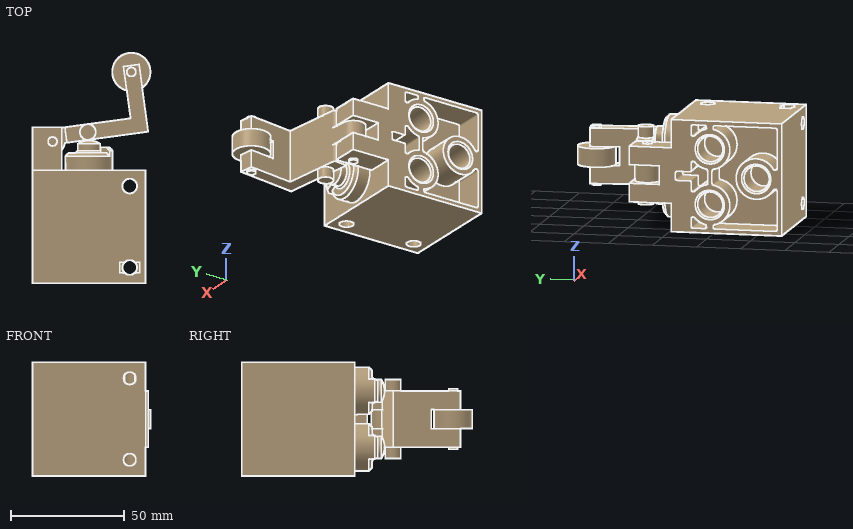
import cadquery as cq
import math

BODY_X = 50.0
BODY_Y = 50.0
BODY_Z = 50.4

HOLE_INSET = 7.0
HOLE_PITCH = 36.0
THROUGH_HOLE_D = 6.4
BASE_HOLE_D = 5.5
NUT_SLOT_X = 9.0
NUT_SLOT_Y = 4.8
NUT_SLOT_DEPTH = 10.0

PORT_BORE_D = 11.45
PORT_MOUTH_D = 13.2
PORT_CHAMFER = (PORT_MOUTH_D - PORT_BORE_D) / 2
PORT_DEPTH = 15.0
PORT_RING_D = 18.2
SIDE_PORT_Y = 32.5
SIDE_PORT_Z = 12.5
BASE_PORT_Y = 11.5
PORT_CENTRES = [(SIDE_PORT_Y, SIDE_PORT_Z), (SIDE_PORT_Y, -SIDE_PORT_Z), (BASE_PORT_Y, 0)]

POCKET_DEPTH = 14.5
POCKET_ROUND = 0.95
STEM_CORNER_ROUND = 0.5
POCKET_HALF_Z = 23.2
POCKET_BASE_Y = 2.0
RIB_LOW_Y = 31.5
RIB_HIGH_Y = 33.5
POCKET_TOP_Y = 41.0
STEM_TOP_Y = 48.1
STEM_HALF_Z = 2.05

CLEVIS_X = 13.0
CLEVIS_Z = 25.0
CLEVIS_TOP_Y = 69.0
CLEVIS_SLOT_FLOOR_Y = 55.5
GAP_Z = 8.4

BUTTON_X = 25.0
BUTTON_Z = 12.5
BUTTON_D = 21.0
BUTTON_CHAMFER = 1.5
BUTTON_TOP_Y = 57.7
PLUNGER_D = 10.0
COLLAR_D = 12.0
COLLAR_TOP_Y = 58.6
PLUNGER_SIDE_TOP_Y = 61.7
PLUNGER_TOP_Y = 63.2
TAB_TOP_Y = 60.2
TAB_HALF_ANGLE = 30.0

LEVER_ANGLE = 7.75
HINGE_X = 8.9
HINGE_Y = 62.7
ARM_WIDTH = 7.0
ARM_BOTTOM_V = -1.45
ARM_TOP_V = ARM_BOTTOM_V + ARM_WIDTH
ARM_START_U = 6.2
ARM_START_ROUND = 1.2
ARM_END_U = 42.5
SHORT_ARM_U = ARM_END_U - ARM_WIDTH
SHORT_ARM_TOP_V = 28.6
FORK_FLOOR_V = 15.55
HUB_D = 2 * ARM_TOP_V
PRESS_PIN_D = 7.0
PRESS_PIN_U = 16.0
PRESS_PIN_V = (ARM_BOTTOM_V + ARM_TOP_V) / 2
PRESS_PIN_LENGTH = 35.0
SMALL_PIN_D = 4.0
SMALL_PIN_LENGTH = 26.8
ROLLER_D = 17.0
ROLLER_U = 38.65
ROLLER_V = 25.76


def block(x_range, y_range, z_range):
    """Axis-aligned box between pairs of limits."""
    sizes = [high - low for low, high in (x_range, y_range, z_range)]
    corner = (x_range[0], y_range[0], z_range[0])
    return cq.Workplane("XY").box(*sizes, centered=False).translate(corner)


def z_cylinder(x, y, diameter, length):
    """Cylinder along Z, centred on the middle plane."""
    return cq.Workplane("XY", origin=(x, y, -length / 2)).circle(diameter / 2).extrude(length)


def port_pockets():
    """Pockets left between the walls, the rib and the port rings, with rounded corners.

    The area open to the centre of a corner-rounding circle is built first, then grown by its radius.
    """
    inset = POCKET_ROUND
    depth = (0, POCKET_DEPTH)
    reach = (inset - POCKET_HALF_Z, POCKET_HALF_Z - inset)
    lower = block(depth, (POCKET_BASE_Y + inset, RIB_LOW_Y - inset), reach)
    upper = block(depth, (RIB_HIGH_Y + inset, POCKET_TOP_Y - inset), reach)
    stem_half = STEM_HALF_Z - inset
    stem = block(depth, (RIB_HIGH_Y + inset, STEM_TOP_Y - inset), (-stem_half, stem_half))
    rings = (
        cq.Workplane("YZ").pushPoints(PORT_CENTRES).circle(PORT_RING_D / 2 + inset).extrude(POCKET_DEPTH)
    )
    base_web = block(depth, (0, BASE_PORT_Y), (-inset, inset))
    centre_paths = lower.union(upper.union(stem)).cut(rings).cut(base_web)

    pockets = cq.Workplane("YZ")
    for face in centre_paths.faces("<X").vals():
        outline = cq.Workplane("YZ").add(face.outerWire()).toPending()
        grown = outline.offset2D(inset + STEM_CORNER_ROUND)
        pockets = pockets.add(grown.offset2D(-STEM_CORNER_ROUND).extrude(POCKET_DEPTH))
    return pockets


def ports():
    bores = cq.Workplane("YZ").pushPoints(PORT_CENTRES).circle(PORT_BORE_D / 2).extrude(PORT_DEPTH)
    mouths = (
        cq.Workplane("YZ").pushPoints(PORT_CENTRES).circle(PORT_MOUTH_D / 2)
        .extrude(PORT_CHAMFER, taper=45)
    )
    return bores.union(mouths)


def body():
    half_z = BODY_Z / 2
    shape = block((0, BODY_X), (0, BODY_Y), (-half_z, half_z))
    hole_x = BODY_X - HOLE_INSET
    for y in (HOLE_INSET, HOLE_INSET + HOLE_PITCH):
        shape = shape.cut(z_cylinder(hole_x, y, THROUGH_HOLE_D, BODY_Z))
    for z in (-HOLE_PITCH / 2, HOLE_PITCH / 2):
        base_hole = cq.Workplane("XZ").center(hole_x, z).circle(BASE_HOLE_D / 2).extrude(-HOLE_INSET)
        shape = shape.cut(base_hole)
    nut_slot = block(
        (hole_x - NUT_SLOT_X / 2, hole_x + NUT_SLOT_X / 2),
        (HOLE_INSET - NUT_SLOT_Y / 2, HOLE_INSET + NUT_SLOT_Y / 2),
        (half_z - NUT_SLOT_DEPTH, half_z),
    )
    shape = shape.cut(nut_slot).cut(ports())
    for pocket in port_pockets().vals():
        shape = shape.cut(cq.Workplane(pocket))
    return shape


def clevis():
    half_z = CLEVIS_Z / 2
    shape = block((0, CLEVIS_X), (BODY_Y, CLEVIS_TOP_Y), (-half_z, half_z))
    slot = block((0, CLEVIS_X), (CLEVIS_SLOT_FLOOR_Y, CLEVIS_TOP_Y), (-GAP_Z / 2, GAP_Z / 2))
    return shape.cut(slot)


def button_barrel(top_y):
    """Button cylinder along Y with a chamfered top, on the axis X = Z = 0."""
    barrel = cq.Workplane("XZ", origin=(0, BODY_Y, 0)).circle(BUTTON_D / 2).extrude(BODY_Y - top_y)
    return barrel.faces(">Y").chamfer(BUTTON_CHAMFER)


def button(z):
    plunger_r = PLUNGER_D / 2
    dome_rise = PLUNGER_TOP_Y - PLUNGER_SIDE_TOP_Y
    dome_r = (plunger_r**2 + dome_rise**2) / (2 * dome_rise)
    mid_r = plunger_r / 2
    mid_y = PLUNGER_TOP_Y - dome_r + math.sqrt(dome_r**2 - mid_r**2)
    plunger = (
        cq.Workplane("XY")
        .moveTo(0, BODY_Y)
        .lineTo(COLLAR_D / 2, BODY_Y)
        .lineTo(COLLAR_D / 2, BUTTON_TOP_Y)
        .lineTo(plunger_r, COLLAR_TOP_Y)
        .lineTo(plunger_r, PLUNGER_SIDE_TOP_Y)
        .threePointArc((mid_r, mid_y), (0, PLUNGER_TOP_Y))
        .close()
        .revolve(360, (0, 0, 0), (0, 1, 0))
    )
    sector_half_z = BUTTON_D * math.tan(math.radians(TAB_HALF_ANGLE))
    sector = (
        cq.Workplane("XZ", origin=(0, BODY_Y, 0))
        .polyline([(0, 0), (BUTTON_D, sector_half_z), (BUTTON_D, -sector_half_z)])
        .close()
        .extrude(BODY_Y - TAB_TOP_Y)
    )
    tab_base = cq.Workplane("XZ", origin=(0, BODY_Y, 0))
    collar_space = tab_base.circle(COLLAR_D / 2).extrude(BODY_Y - TAB_TOP_Y)
    sector = sector.cut(collar_space)
    tab = button_barrel(TAB_TOP_Y).intersect(sector)
    return button_barrel(BUTTON_TOP_Y).union(tab).union(plunger).translate((BUTTON_X, 0, z))


def lever():
    arm = (
        cq.Workplane("XY", origin=(0, 0, -CLEVIS_Z / 2))
        .moveTo(ARM_START_U, ARM_BOTTOM_V)
        .lineTo(ARM_END_U, ARM_BOTTOM_V)
        .lineTo(ARM_END_U, SHORT_ARM_TOP_V)
        .lineTo(SHORT_ARM_U, SHORT_ARM_TOP_V)
        .lineTo(SHORT_ARM_U, ARM_TOP_V)
        .lineTo(ARM_START_U, ARM_TOP_V)
        .close()
        .extrude(CLEVIS_Z)
    )
    arm = arm.edges("|Z and <X").edges(">Y").fillet(ARM_START_ROUND)
    gap = (-GAP_Z / 2, GAP_Z / 2)
    fork = block((SHORT_ARM_U, ARM_END_U), (FORK_FLOOR_V, SHORT_ARM_TOP_V), gap)
    hub = z_cylinder(0, 0, HUB_D, GAP_Z)
    tongue = block((0, ARM_START_U + ARM_START_ROUND), (ARM_BOTTOM_V, ARM_TOP_V), gap)
    shape = arm.cut(fork).union(tongue).union(hub)
    shape = shape.union(z_cylinder(PRESS_PIN_U, PRESS_PIN_V, PRESS_PIN_D, PRESS_PIN_LENGTH))
    shape = shape.union(z_cylinder(ROLLER_U, ROLLER_V, ROLLER_D, GAP_Z))
    for u, v in ((0, 0), (ROLLER_U, ROLLER_V)):
        shape = shape.union(z_cylinder(u, v, SMALL_PIN_D, SMALL_PIN_LENGTH))
    return shape.rotate((0, 0, 0), (0, 0, 1), LEVER_ANGLE).translate((HINGE_X, HINGE_Y, 0))


result = body().union(clevis())
for button_z in (-BUTTON_Z, BUTTON_Z):
    result = result.union(button(button_z))
result = result.union(lever())